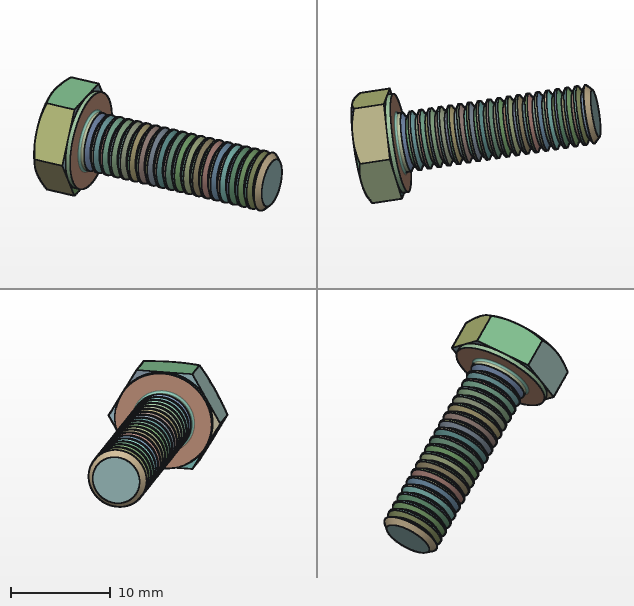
import cadquery as cq
import math

total_length = 24.0

across_corners = 11.55
across_flats = across_corners * math.cos(math.radians(30))
head_height = 4.0
collar_thickness = 0.5
collar_diameter = across_flats
hex_thickness = head_height - collar_thickness
head_chamfer_angle = 30.0

shank_radius = 3.0
neck_fillet = 0.22
pitch_count = 20
pitch = (total_length - head_height) / pitch_count
crest_width = 0.22
groove_depth = 0.6
groove_half_width = (pitch - crest_width) / 2
tip_chamfer = 0.58


def revolve_about_axis(outline):
    """Turn a closed half outline, drawn as (axial position, radius), about the bolt axis."""
    return outline.close().revolve(360, (0, 0, 0), (1, 0, 0))


def make_hexagon():
    """Hexagon with flats facing +Z and -Z, its top corners trimmed by a cone."""
    hexagon = cq.Workplane("YZ").polygon(6, across_corners).extrude(hex_thickness)
    top_radius = across_flats / 2
    base_radius = top_radius + hex_thickness / math.tan(math.radians(head_chamfer_angle))
    cone_outline = cq.Workplane("XY").polyline([
        (0, 0),
        (0, top_radius),
        (hex_thickness, base_radius),
        (hex_thickness, 0),
    ])
    return hexagon.intersect(revolve_about_axis(cone_outline))


def make_collar():
    """Round bearing collar under the hexagon."""
    collar_plane = cq.Workplane("YZ").workplane(offset=hex_thickness)
    return collar_plane.circle(collar_diameter / 2).extrude(collar_thickness)


def make_shank():
    """Shank with a filleted neck, evenly spaced ring-shaped V grooves and a chamfered tip."""
    root_radius = shank_radius - groove_depth
    fillet_top_radius = shank_radius + neck_fillet

    fillet_mid_offset = neck_fillet * (1 - math.cos(math.radians(45)))
    outline = (
        cq.Workplane("XY")
        .moveTo(hex_thickness, 0)
        .lineTo(hex_thickness, fillet_top_radius)
        .lineTo(head_height, fillet_top_radius)
        .threePointArc(
            (head_height + fillet_mid_offset, shank_radius + fillet_mid_offset),
            (head_height + neck_fillet, shank_radius),
        )
    )
    for groove_number in range(1, pitch_count):
        root_position = head_height + groove_number * pitch
        outline = (
            outline
            .lineTo(root_position - groove_half_width, shank_radius)
            .lineTo(root_position, root_radius)
            .lineTo(root_position + groove_half_width, shank_radius)
        )
    outline = (
        outline
        .lineTo(total_length - tip_chamfer, shank_radius)
        .lineTo(total_length, shank_radius - tip_chamfer)
        .lineTo(total_length, 0)
    )
    return revolve_about_axis(outline)


result = make_hexagon().union(make_collar()).union(make_shank())